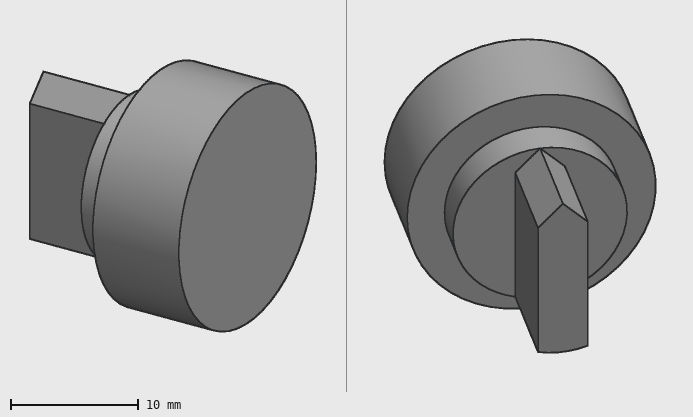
import cadquery as cq

body_diameter = 20.0
body_length = 8.0
collar_diameter = 14.0
collar_length = 3.0
grip_width = 4.0
grip_length = 8.0
pointer_height = 2.0

collar_radius = collar_diameter / 2
half_width = grip_width / 2
shoulder_z = collar_radius - pointer_height
grip_bottom_z = -(collar_radius**2 - half_width**2) ** 0.5


def make_body():
    """Large round knob body, extending toward +X from the origin."""
    return cq.Workplane("YZ").circle(body_diameter / 2).extrude(body_length)


def make_collar():
    """Smaller round step in front of the body."""
    return cq.Workplane("YZ").circle(collar_radius).extrude(-collar_length)


def make_grip():
    """Flat grip with a pointed top and a bottom that follows the collar's rim."""
    return (
        cq.Workplane("YZ", origin=(-collar_length, 0, 0))
        .moveTo(-half_width, grip_bottom_z)
        .lineTo(-half_width, shoulder_z)
        .lineTo(0, collar_radius)
        .lineTo(half_width, shoulder_z)
        .lineTo(half_width, grip_bottom_z)
        .threePointArc((0, -collar_radius), (-half_width, grip_bottom_z))
        .close()
        .extrude(-grip_length)
    )


result = make_body().union(make_collar()).union(make_grip())